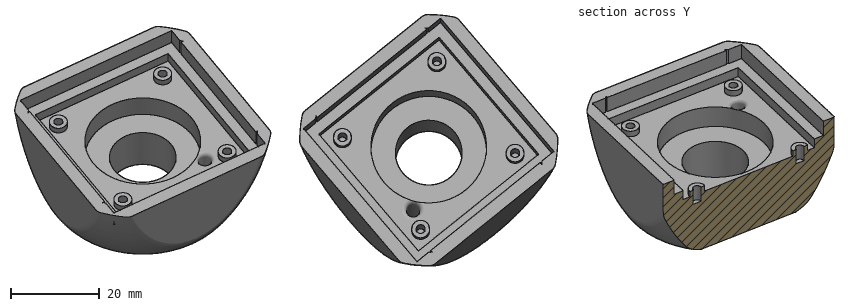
import cadquery as cq
import math

width = 46.0
height = 22.75
rim_radius = 29.05
shoulder_radius = 21.75
shoulder_depth = 20.25
wall_arc_radius = 62.1
base_arc_end_radius = 19.5
base_arc_end_depth = 22.35
base_radius = 18.7
edge_round = 2.0

lid_pocket_side = 40.0
lid_pocket_depth = 4.0
inner_pocket_side = 35.15
floor_depth = 6.5

bore_radius = 13.0
bore_depth = 12.0
through_radius = 7.5

boss_spacing = 27.6
boss_radius = 2.02
boss_height = 1.5
screw_radius = 1.0
screw_depth = 4.0

cable_x = 12.0
cable_y = 9.0
cable_radius = 1.45
cable_mouth_round = 1.0

groove_x = 16.5
groove_width = 0.45
groove_lean = 0.55
groove_reach = 0.5


def make_body():
    dome = (
        cq.Workplane("XZ")
        .lineTo(rim_radius, 0)
        .radiusArc((shoulder_radius, -shoulder_depth), wall_arc_radius)
        .tangentArcPoint((base_arc_end_radius, -base_arc_end_depth), relative=False)
        .lineTo(base_radius, -height)
        .lineTo(0, -height)
        .close()
        .revolve(360, (0, 0), (0, 1))
    )
    body = dome.intersect(square_cut(width, height))
    side_outlines = body.faces("|X or |Y").edges("not >Z")
    return side_outlines.fillet(edge_round)


def square_cut(side, depth):
    return cq.Workplane("XY").rect(side, side).extrude(-depth)


def round_cut(radius, depth):
    return cq.Workplane("XY").circle(radius).extrude(-depth)


def make_bosses():
    bosses = cq.Workplane("XY", origin=(0, 0, -floor_depth))
    bosses = bosses.rect(boss_spacing, boss_spacing, forConstruction=True).vertices()
    return bosses.circle(boss_radius).extrude(boss_height)


def make_screw_holes():
    holes = cq.Workplane("XY", origin=(0, 0, boss_height - floor_depth))
    holes = holes.rect(boss_spacing, boss_spacing, forConstruction=True).vertices()
    return holes.circle(screw_radius).extrude(-screw_depth)


def make_cable_cut():
    mouth_radius = cable_radius + cable_mouth_round
    inset = cable_mouth_round * (1 - math.sqrt(0.5))
    profile = (
        cq.Workplane("XZ")
        .moveTo(0, -height)
        .lineTo(cable_radius, -height)
        .lineTo(cable_radius, -floor_depth - cable_mouth_round)
        .threePointArc((cable_radius + inset, -floor_depth - inset), (mouth_radius, -floor_depth))
        .lineTo(0, -floor_depth)
        .close()
    )
    return profile.revolve(360, (0, 0), (0, 1)).translate((cable_x, cable_y, 0))


def make_groove():
    wall_y = lid_pocket_side / 2
    points = [
        (groove_x, wall_y),
        (groove_x - groove_width, wall_y),
        (groove_x - groove_lean, wall_y + groove_reach),
    ]
    return cq.Workplane("XY").polyline(points).close().extrude(-lid_pocket_depth)


result = make_body()
result = result.cut(square_cut(lid_pocket_side, lid_pocket_depth))
result = result.cut(square_cut(inner_pocket_side, floor_depth))
result = result.union(make_bosses())
result = result.cut(round_cut(bore_radius, bore_depth))
result = result.cut(round_cut(through_radius, height))
result = result.cut(make_screw_holes())
result = result.cut(make_cable_cut())

right_grooves = make_groove().union(make_groove().mirror("XZ"))
result = result.cut(right_grooves).cut(right_grooves.mirror("YZ"))